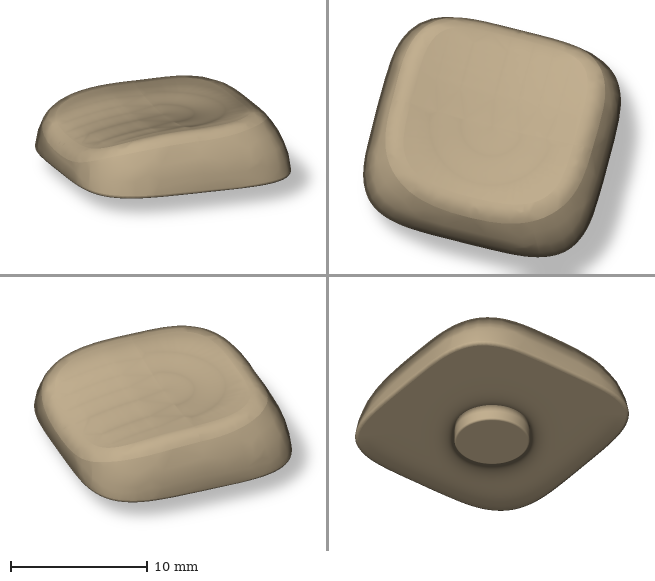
import cadquery as cq
import math

length_x = 17.47
length_y = 16.5
base_outline_power = 4.2
top_outline_power = 3.2
outline_points = 32
wall_height = 4.72
wall_levels = 5
wall_top_inset = 2.15
wall_lean_power = 2.4
base_round = 0.23

dish_center_z = 3.51
dish_radius = 29.35
dish_front_radius = 24.45
rim_round = 1.4

stem_diameter = 5.5
stem_height = 1.31
stem_round = 0.14

cutter_margin = 1.75
cutter_half_width = length_x / 2 + cutter_margin
cutter_reach = length_y / 2 + cutter_margin
cutter_height = 6.99


def outline(z):
    """Superellipse wire of the wall at height z."""
    inset = wall_top_inset * (z / wall_height) ** wall_lean_power
    half_x = length_x / 2 - inset
    half_y = length_y / 2 - inset
    outline_power = base_outline_power + (top_outline_power - base_outline_power) * z / wall_height
    points = []
    for i in range(outline_points):
        angle = 2 * math.pi * i / outline_points
        along_x = math.cos(angle)
        along_y = math.sin(angle)
        stretch = (abs(along_x) ** outline_power + abs(along_y) ** outline_power) ** (-1 / outline_power)
        points.append(cq.Vector(half_x * stretch * along_x, half_y * stretch * along_y, z))
    return cq.Wire.assembleEdges([cq.Edge.makeSpline(points, periodic=True)])


def make_body():
    levels = [wall_height * i / (wall_levels - 1) for i in range(wall_levels)]
    return cq.Workplane(cq.Solid.makeLoft([outline(z) for z in levels]))


def dish_profile(workplane):
    """Dish cross arc, open to above the wall; the origin is the lowest point of the dish."""
    edge_rise = dish_radius - math.sqrt(dish_radius**2 - cutter_half_width**2)
    return (
        workplane.moveTo(-cutter_half_width, edge_rise)
        .threePointArc((0, 0), (cutter_half_width, edge_rise))
        .lineTo(cutter_half_width, cutter_height)
        .lineTo(-cutter_half_width, cutter_height)
        .close()
    )


def make_front_cutter():
    """Cross arc swept forward and down along a convex arc."""
    def path_point(y):
        return y, dish_center_z - dish_front_radius + math.sqrt(dish_front_radius**2 - y**2)

    path = (
        cq.Workplane("YZ")
        .moveTo(0, dish_center_z)
        .threePointArc(path_point(-cutter_reach / 2), path_point(-cutter_reach))
    )
    return dish_profile(cq.Workplane("XZ", origin=(0, 0, dish_center_z))).sweep(path)


def make_back_cutter():
    """Spherical bowl, limited to the back half."""
    sphere = cq.Workplane("XY", origin=(0, 0, dish_center_z + dish_radius)).sphere(dish_radius)
    back_half = cq.Workplane("XY", origin=(0, 0, dish_center_z)).box(
        2 * cutter_half_width, cutter_reach, cutter_height, centered=(True, False, False)
    )
    return sphere.intersect(back_half)


def make_stem():
    stem = cq.Workplane("XY").circle(stem_diameter / 2).extrude(-stem_height)
    return stem.faces("<Z").edges().fillet(stem_round)


def is_rim_edge(edge):
    """Wall seam, dish joint and base outline are each flat in one axis; the rim is not."""
    box = edge.BoundingBox()
    return min(box.xlen, box.ylen, box.zlen) > base_round


body = make_body().cut(make_front_cutter()).cut(make_back_cutter())
rim_edges = [edge for edge in body.edges().vals() if is_rim_edge(edge)]
body = body.newObject(rim_edges).fillet(rim_round)
body = body.faces("<Z").edges().fillet(base_round)
result = body.union(make_stem())